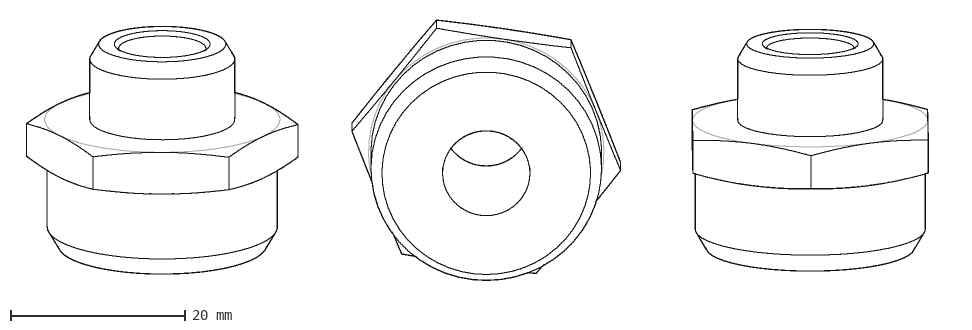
import cadquery as cq
import math

total_height = 24.0
hex_bottom = 10.0
hex_height = 5.0
hex_top = hex_bottom + hex_height

hex_corner_diameter = 31.18
hex_flat_radius = hex_corner_diameter / 2 * math.cos(math.radians(30))
hex_bevel_angle = 15.0

lower_diameter = 26.45
lower_chamfer_height = 2.18
upper_diameter = 16.65
upper_chamfer_height = 1.78
end_chamfer_angle = 30.0

bore_diameter = 10.0
bore_chamfer = 0.5


def beveled_hexagon():
    """Hexagon whose corners are cut by a shallow cone at both faces."""
    corner_radius = hex_corner_diameter / 2
    bevel_drop = (corner_radius - hex_flat_radius) * math.tan(math.radians(hex_bevel_angle))
    prism = (
        cq.Workplane("XY")
        .workplane(offset=hex_bottom)
        .polygon(6, hex_corner_diameter)
        .extrude(hex_height)
    )
    envelope = (
        cq.Workplane("XZ")
        .moveTo(0, hex_bottom)
        .lineTo(hex_flat_radius, hex_bottom)
        .lineTo(corner_radius, hex_bottom + bevel_drop)
        .lineTo(corner_radius, hex_top - bevel_drop)
        .lineTo(hex_flat_radius, hex_top)
        .lineTo(0, hex_top)
        .close()
        .revolve(360, (0, 0), (0, 1))
    )
    return prism.intersect(envelope)


def spigot(diameter, start, end, chamfer_height):
    """Cylinder from the start height to a chamfered face at the end height."""
    radius = diameter / 2
    end_radius = radius - chamfer_height * math.tan(math.radians(end_chamfer_angle))
    chamfer_start = end - math.copysign(chamfer_height, end - start)
    return (
        cq.Workplane("XZ")
        .moveTo(0, start)
        .lineTo(radius, start)
        .lineTo(radius, chamfer_start)
        .lineTo(end_radius, end)
        .lineTo(0, end)
        .close()
        .revolve(360, (0, 0), (0, 1))
    )


def bore():
    """Through hole, widened by a chamfer at the top face."""
    radius = bore_diameter / 2
    return (
        cq.Workplane("XZ")
        .lineTo(radius, 0)
        .lineTo(radius, total_height - bore_chamfer)
        .lineTo(radius + bore_chamfer, total_height)
        .lineTo(0, total_height)
        .close()
        .revolve(360, (0, 0), (0, 1))
    )


lower_spigot = spigot(lower_diameter, hex_bottom, 0, lower_chamfer_height)
upper_spigot = spigot(upper_diameter, hex_top, total_height, upper_chamfer_height)
result = beveled_hexagon().union(lower_spigot).union(upper_spigot).cut(bore())